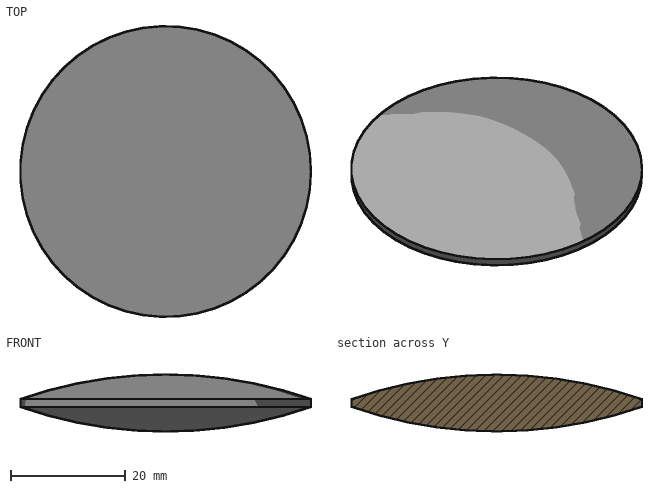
import cadquery as cq

diameter = 50.8
center_thickness = 10.0
edge_thickness = 1.35

radius = diameter / 2
dome_height = (center_thickness - edge_thickness) / 2
sphere_radius = (radius**2 + dome_height**2) / (2 * dome_height)


def spherical_face_ball(center_height):
    """Full ball, centred on the lens axis, that shapes one lens face."""
    return cq.Workplane("XY").sphere(sphere_radius).translate((0, 0, center_height))


disc = cq.Workplane("XY").circle(radius).extrude(center_thickness)
upper_face_ball = spherical_face_ball(center_thickness - sphere_radius)
lower_face_ball = spherical_face_ball(sphere_radius)

result = disc.intersect(upper_face_ball).intersect(lower_face_ball)